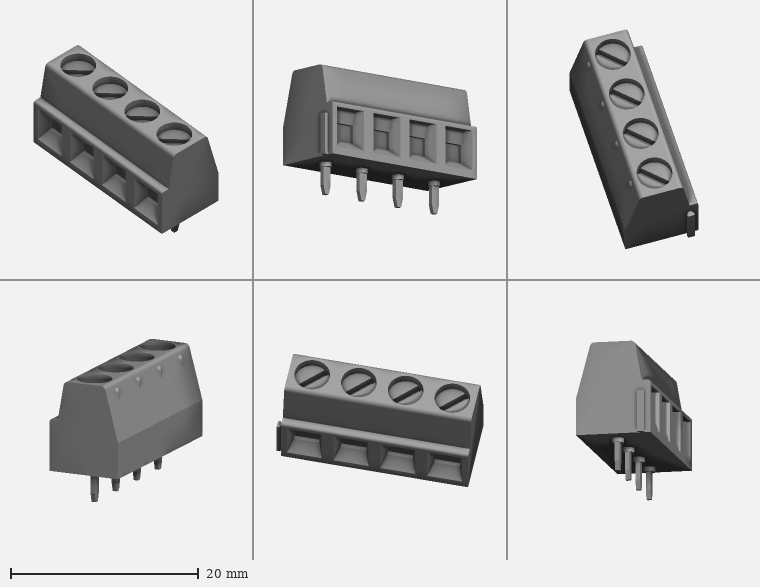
import cadquery as cq
import math

length = 20.9
depth = 8.1
height = 10.0
pole_count = 4
pole_pitch = 5.08
body_length = pole_count * pole_pitch
body_left = length - body_length
pole_centers = [body_left + (index + 0.5) * pole_pitch for index in range(pole_count)]
pole_y = 4.1

back_wall_height = 4.0
back_slope = math.tan(math.radians(15))
step_height = 5.72
step_depth = 0.96
front_slope = math.tan(math.radians(10))
top_round = 0.5
step_round = 0.3

entry_width = 3.78
entry_bottom = 0.84
entry_top = 5.18
entry_roof_round = 0.38
funnel_depth = 1.27
throat_width = 2.78
throat_bottom = 1.78
throat_top = 3.74
throat_depth = 0.4

well_diameter = 3.8
well_depth = 1.0
slot_width = 0.7
slot_depth = 1.0
slot_angle = 45

dome_radius = 0.5
dome_y = 6.5
dome_center_height = 8.9
dome_root_height = 7.31

pin_length = 3.49
pin_width = 1.0
pin_thickness = 0.5
pin_tip_width = 0.5
pin_taper_length = 1.0
collar_diameter = 1.3
collar_height = 0.5

rail_height = 4.47
rail_y = 0.95
rail_width = 0.77
rail_neck_width = 0.4
rail_flange_thickness = 0.3
rail_neck_start = 0.45


def make_housing():
    back_top_y = depth - (height - back_wall_height) * back_slope
    front_top_y = step_depth + (height - step_height) * front_slope
    housing = (
        cq.Workplane("YZ", origin=(body_left, 0, 0))
        .moveTo(0, 0)
        .lineTo(depth, 0)
        .lineTo(depth, back_wall_height)
        .lineTo(back_top_y, height)
        .lineTo(front_top_y, height)
        .lineTo(step_depth, step_height)
        .lineTo(0, step_height)
        .close()
        .extrude(body_length)
    )
    housing = housing.faces(">Z").edges("|X").fillet(top_round)
    return housing.edges(cq.selectors.NearestToPointSelector((length / 2, 0, step_height))).fillet(step_round)


def make_wire_entry(x):
    """Funnel with sloping floor and tapering sides, ending in a short straight throat."""
    roof_depth = funnel_depth - (entry_top - throat_top) * front_slope
    profile = (
        cq.Workplane("YZ", origin=(x - entry_width / 2, 0, 0))
        .moveTo(0, entry_bottom)
        .lineTo(funnel_depth, throat_bottom)
        .lineTo(funnel_depth, throat_top)
        .lineTo(roof_depth, entry_top)
        .lineTo(0, entry_top)
        .close()
        .extrude(entry_width)
    )
    roof_corner = (x, roof_depth, entry_top)
    profile = profile.edges(cq.selectors.NearestToPointSelector(roof_corner)).fillet(entry_roof_round)
    plan = (
        cq.Workplane("XY")
        .moveTo(x - entry_width / 2, 0)
        .lineTo(x + entry_width / 2, 0)
        .lineTo(x + throat_width / 2, funnel_depth)
        .lineTo(x - throat_width / 2, funnel_depth)
        .close()
        .extrude(height)
    )
    throat = cq.Workplane("XY").box(
        throat_width, throat_depth, throat_top - throat_bottom, centered=(True, False, False)
    )
    return profile.intersect(plan).union(throat.translate((x, funnel_depth, throat_bottom)))


def make_screw_well(x):
    """Round well whose floor is the screw head, with a driver slot across it."""
    head_height = height - well_depth
    well = cq.Workplane("XY", origin=(x, pole_y, head_height)).circle(well_diameter / 2).extrude(well_depth)
    slot_floor = cq.Workplane("XY", origin=(x, pole_y, head_height - slot_depth))
    slot = (
        slot_floor.transformed(rotate=(0, 0, slot_angle))
        .rect(well_diameter, slot_width)
        .extrude(slot_depth)
        .intersect(slot_floor.circle(well_diameter / 2).extrude(slot_depth))
    )
    return well.union(slot)


def make_clamp_dome(x):
    """Upright round post with a ball end, showing through the back slope."""
    post = (
        cq.Workplane("XY", origin=(x, dome_y, dome_root_height))
        .circle(dome_radius)
        .extrude(dome_center_height - dome_root_height)
    )
    ball = cq.Workplane("XY").sphere(dome_radius).translate((x, dome_y, dome_center_height))
    return post.union(ball)


def make_pin(x):
    taper_start = pin_taper_length - pin_length
    blade = (
        cq.Workplane("XZ", origin=(x, pole_y, 0))
        .moveTo(-pin_width / 2, 0)
        .lineTo(-pin_width / 2, taper_start)
        .lineTo(-pin_tip_width / 2, -pin_length)
        .lineTo(pin_tip_width / 2, -pin_length)
        .lineTo(pin_width / 2, taper_start)
        .lineTo(pin_width / 2, 0)
        .close()
        .extrude(pin_thickness / 2, both=True)
    )
    collar = cq.Workplane("XY", origin=(x, pole_y, 0)).circle(collar_diameter / 2).extrude(-collar_height)
    return blade.union(collar)


def make_rail():
    """T-shaped rail; its flange narrows to the neck with a short bevel."""
    half_flange = rail_width / 2
    half_neck = rail_neck_width / 2
    return (
        cq.Workplane("XY", origin=(0, rail_y, 0))
        .moveTo(0, -half_flange)
        .lineTo(rail_flange_thickness, -half_flange)
        .lineTo(rail_neck_start, -half_neck)
        .lineTo(body_left, -half_neck)
        .lineTo(body_left, half_neck)
        .lineTo(rail_neck_start, half_neck)
        .lineTo(rail_flange_thickness, half_flange)
        .lineTo(0, half_flange)
        .close()
        .extrude(rail_height)
    )


result = make_housing().union(make_rail())
for pole_x in pole_centers:
    result = result.union(make_clamp_dome(pole_x)).union(make_pin(pole_x))
    result = result.cut(make_wire_entry(pole_x)).cut(make_screw_well(pole_x))